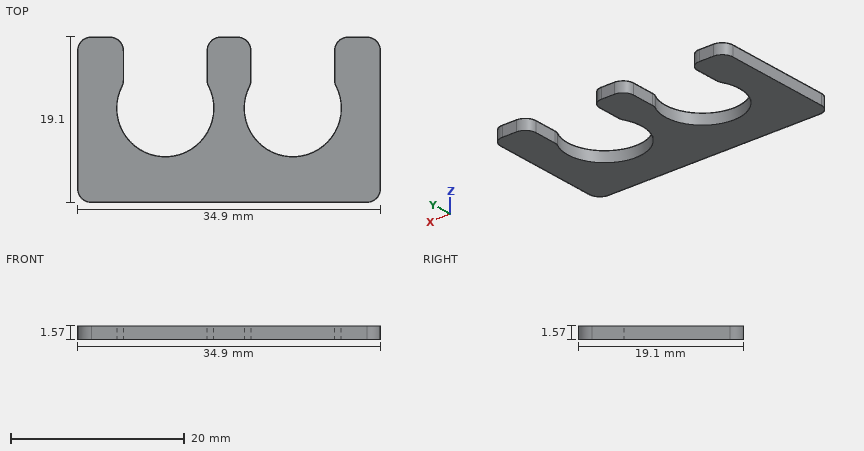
import cadquery as cq

length = 34.92
width = 19.05
thickness = 1.57
corner_radius = 1.57

seat_spacing = 14.7
seat_radius = 5.6
seat_height = 10.85
mouth_width = 9.65
neck_radius = 1.4

seat_y = seat_height - width / 2
mouth_length = width / 2 - seat_y


def seat_cutter(x):
    """Round seat with its mouth, the neck edges blended."""
    seat = cq.Workplane("XY").center(x, seat_y).circle(seat_radius).extrude(thickness)
    mouth = (
        cq.Workplane("XY")
        .center(x, seat_y + mouth_length / 2)
        .rect(mouth_width, mouth_length)
        .extrude(thickness)
    )
    neck_zone = cq.selectors.BoxSelector(
        (x - seat_radius, seat_y + neck_radius, 0),
        (x + seat_radius, width / 2 - corner_radius, thickness),
    )
    return seat.union(mouth).edges("|Z").edges(neck_zone).fillet(neck_radius)


plate = cq.Workplane("XY").box(length, width, thickness, centered=(True, True, False))
for side in (-1, 1):
    plate = plate.cut(seat_cutter(side * seat_spacing / 2))

result = plate.edges("|Z and (<Y or >Y)").fillet(corner_radius)